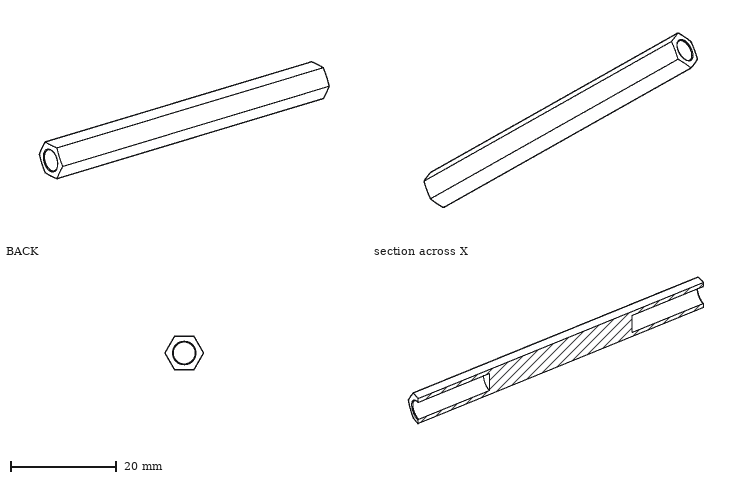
import cadquery as cq
import math

length = 63.5
across_flats = 6.35
across_corners = across_flats / math.cos(math.radians(30))

end_face_diameter = 6.05
corner_chamfer_depth = 0.1

hole_diameter = 4.1
hole_depth = 15.9
countersink_diameter = 4.45
countersink_depth = (countersink_diameter - hole_diameter) / 2


def hexagonal_bar():
    """Hexagon with flats facing up and down, extruded along Y."""
    return cq.Workplane("XZ").polygon(6, across_corners).extrude(length / 2, both=True)


def corner_envelope():
    """Round bar with chamfered ends, touching the hexagon corners."""
    corner_radius = across_corners / 2
    face_radius = end_face_diameter / 2
    end = length / 2
    shoulder = end - corner_chamfer_depth
    return (
        cq.Workplane("XY")
        .moveTo(0, -end)
        .lineTo(face_radius, -end)
        .lineTo(corner_radius, -shoulder)
        .lineTo(corner_radius, shoulder)
        .lineTo(face_radius, end)
        .lineTo(0, end)
        .close()
        .revolve(360, (0, 0, 0), (0, 1, 0))
    )


def front_hole():
    """Countersunk, flat-bottomed hole volume at the -Y end."""
    mouth = -length / 2
    hole_radius = hole_diameter / 2
    return (
        cq.Workplane("XY")
        .moveTo(0, mouth)
        .lineTo(countersink_diameter / 2, mouth)
        .lineTo(hole_radius, mouth + countersink_depth)
        .lineTo(hole_radius, mouth + hole_depth)
        .lineTo(0, mouth + hole_depth)
        .close()
        .revolve(360, (0, 0, 0), (0, 1, 0))
    )


hole = front_hole()
result = hexagonal_bar().intersect(corner_envelope()).cut(hole).cut(hole.mirror("XZ"))